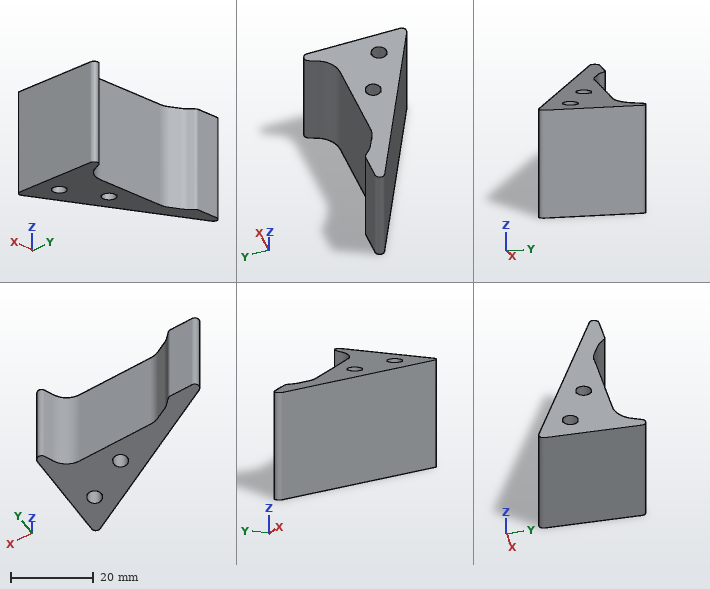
import cadquery as cq
import math

length = 45.55
width = 26.7
height = 27.0

arm_top = 24.7
ledge_y = 20.15

tip_radius = 1.25
arm_end_radius = 1.25
neck_radius = 4.55
ledge_radius = 5.0
horn_root_radius = 6.0

arm_end_x = 8.0
arm_drop = 2.15

horn_lean = math.radians(24)

hole_diameter = 3.83
first_hole = (28.35, 14.75)
hole_spacing = 12.7

slope = math.atan((arm_top - 2 * tip_radius) / (length - 2 * tip_radius))

lower_y = tip_radius * (1 - math.tan(slope) - 1 / math.cos(slope))
arm_tip_x = length - (arm_top - lower_y) / math.tan(slope)
neck_x = arm_end_x + arm_drop
neck_y = arm_top - arm_drop
ledge_start_x = neck_x + (neck_y - ledge_y) / math.tan(slope)

horn_y = width - tip_radius + tip_radius * (1 + math.cos(horn_lean)) / math.sin(horn_lean)
horn_root_x = length - (horn_y - ledge_y) * math.tan(horn_lean)

corners = [
    (length, lower_y, tip_radius),
    (length, horn_y, tip_radius),
    (horn_root_x, ledge_y, horn_root_radius),
    (ledge_start_x, ledge_y, ledge_radius),
    (neck_x, neck_y, neck_radius),
    (arm_end_x, arm_top, arm_end_radius),
    (arm_tip_x, arm_top, tip_radius),
]


def make_body():
    """Extrude the sharp profile and round each of its upright edges."""
    body = cq.Workplane("XY").polyline([(x, y) for x, y, _ in corners]).close().extrude(height)
    for x, y, radius in corners:
        upright_edge = cq.selectors.NearestToPointSelector((x, y, height / 2))
        body = body.edges("|Z").edges(upright_edge).fillet(radius)
    return body


def make_holes():
    """Cylinders for the two through holes."""
    second_hole = (
        first_hole[0] + hole_spacing * math.cos(slope),
        first_hole[1] - hole_spacing * math.sin(slope),
    )
    return cq.Workplane("XY").pushPoints([first_hole, second_hole]).circle(hole_diameter / 2).extrude(height)


result = make_body().cut(make_holes())